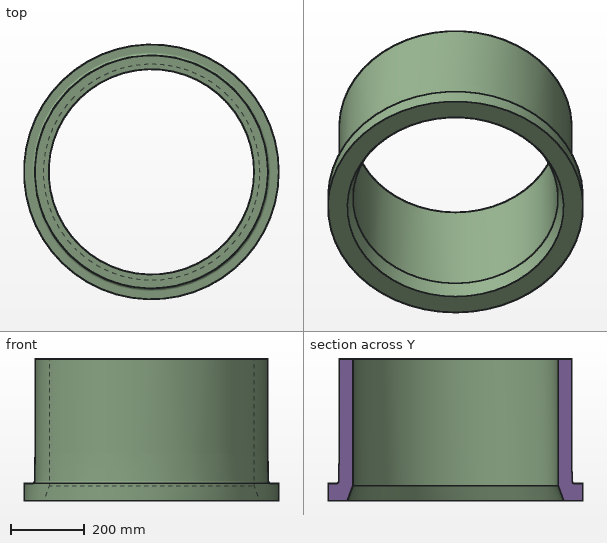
import cadquery as cq
import math

flange_radius = 345.0
total_height = 384.0
flange_height = 47.5

pipe_diameter = 630.0
pipe_radius = pipe_diameter / 2
bore_radius = 277.5
hub_top = 127.5
hub_base_radius = 317.0
fillet_radius = 6.0

flare_height = 41.5
flare_width = 15.0


def make_body():
    """Flange, filleted hub and pipe, revolved as one solid without the bore."""
    arc_offset = fillet_radius * (1 - math.sqrt(0.5))
    half_section = (
        cq.Workplane("XZ")
        .lineTo(flange_radius, 0)
        .lineTo(flange_radius, flange_height)
        .lineTo(hub_base_radius + fillet_radius, flange_height)
        .threePointArc(
            (hub_base_radius + arc_offset, flange_height + arc_offset),
            (hub_base_radius, flange_height + fillet_radius),
        )
        .lineTo(pipe_radius, hub_top)
        .lineTo(pipe_radius, total_height)
        .lineTo(0, total_height)
        .close()
    )
    return half_section.revolve(360, (0, 0, 0), (0, 1, 0))


def make_bore():
    """Straight bore that widens to a cone at the bottom face."""
    half_section = (
        cq.Workplane("XZ")
        .lineTo(bore_radius + flare_width, 0)
        .lineTo(bore_radius, flare_height)
        .lineTo(bore_radius, total_height)
        .lineTo(0, total_height)
        .close()
    )
    return half_section.revolve(360, (0, 0, 0), (0, 1, 0))


result = make_body().cut(make_bore())